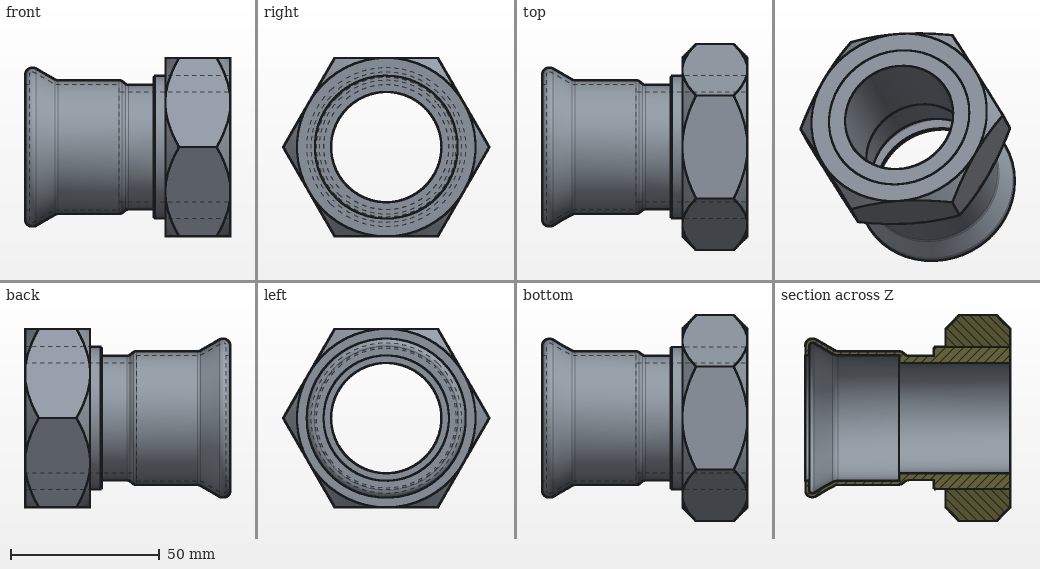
import cadquery as cq
import math

total_length = 69.0
nut_start = 47.1
neck_start = 34.7
collar_start = 43.15

hex_corner_diameter = 69.3
hex_corner_radius = hex_corner_diameter / 2
hex_flat_radius = hex_corner_radius * math.cos(math.radians(30))
corner_chamfer = hex_corner_radius - hex_flat_radius
nut_length = total_length - nut_start

tube_radius = 45.0 / 2
neck_radius = 42.0 / 2
collar_radius = 48.0 / 2
through_bore_radius = 18.5
collar_chamfer = 0.55

wall = 1.45
socket_radius = tube_radius - wall
lip_radius = 26.75
lip_roll_radius = 2.5
lip_roll_center = lip_radius - lip_roll_radius
lip_angle = math.radians(30)
lip_bend_radius = 2.1

step_part_length = 1.05
step_start = neck_start - 3 * step_part_length
step_bend_drop = 0.35
socket_depth = step_start


def lip_points(roll_radius, bend_radius, straight_radius):
    """Points of a rolled lip: roll start, top and end, then bend start, middle and end."""

    def roll_point(angle):
        return (
            lip_roll_radius + roll_radius * math.sin(angle),
            lip_roll_center + roll_radius * math.cos(angle),
        )

    roll_end = roll_point(lip_angle)
    bend_start_radius = straight_radius + bend_radius * (1 - math.cos(lip_angle))
    cone_length = (roll_end[1] - bend_start_radius) / math.tan(lip_angle)
    bend_end_x = roll_end[0] + cone_length + bend_radius * math.sin(lip_angle)

    def bend_point(angle):
        return (
            bend_end_x - bend_radius * math.sin(angle),
            straight_radius + bend_radius * (1 - math.cos(angle)),
        )

    return (
        roll_point(-math.pi / 2),
        roll_point(0),
        roll_end,
        bend_point(lip_angle),
        bend_point(lip_angle / 2),
        bend_point(0),
    )


def make_sleeve():
    """Press sleeve: half section revolved about the X axis."""
    outer = lip_points(lip_roll_radius, lip_bend_radius, tube_radius)
    inner = lip_points(lip_roll_radius - wall, lip_bend_radius + wall, socket_radius)
    cone_start = (step_start + step_part_length, tube_radius - step_bend_drop)
    cone_end = (neck_start - step_part_length, neck_radius + step_bend_drop)

    section = (
        cq.Workplane("XY")
        .moveTo(0, socket_radius)
        .lineTo(*outer[0])
        .threePointArc(outer[1], outer[2])
        .lineTo(*outer[3])
        .threePointArc(outer[4], outer[5])
        .lineTo(step_start, tube_radius)
        .tangentArcPoint(cone_start, relative=False)
        .lineTo(*cone_end)
        .tangentArcPoint((neck_start, neck_radius), relative=False)
        .lineTo(collar_start, neck_radius)
        .lineTo(collar_start, collar_radius - collar_chamfer)
        .lineTo(collar_start + collar_chamfer, collar_radius)
        .lineTo(total_length, collar_radius)
        .lineTo(total_length, through_bore_radius)
        .lineTo(socket_depth, through_bore_radius)
        .lineTo(socket_depth, socket_radius)
        .lineTo(*inner[5])
        .threePointArc(inner[4], inner[3])
        .lineTo(*inner[2])
        .threePointArc(inner[1], inner[0])
        .lineTo(inner[0][0], socket_radius)
        .close()
    )
    return section.revolve(360, (0, 0, 0), (1, 0, 0))


def make_nut():
    """Hexagon nut with both ends chamfered by cones, bored to fit the collar."""
    hexagon = (
        cq.Workplane("YZ", origin=(nut_start, 0, 0))
        .polygon(6, hex_corner_diameter)
        .extrude(nut_length)
    )
    chamfered_round = (
        cq.Workplane("YZ", origin=(nut_start, 0, 0))
        .circle(hex_corner_radius)
        .extrude(nut_length)
        .faces("<X or >X")
        .chamfer(corner_chamfer)
    )
    bore = (
        cq.Workplane("YZ", origin=(nut_start, 0, 0))
        .circle(collar_radius)
        .extrude(nut_length)
    )
    return hexagon.intersect(chamfered_round).cut(bore)


sleeve = make_sleeve()
nut = make_nut()

result = cq.Compound.makeCompound([sleeve.val(), nut.val()])